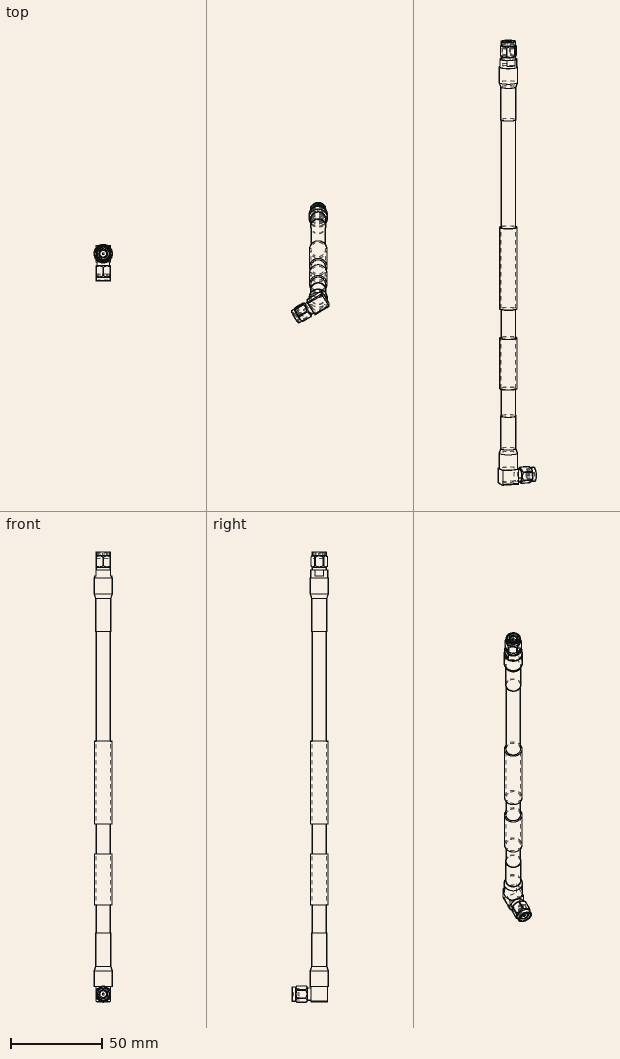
import cadquery as cq
import math


total_height = 247.2
cable_radius = 4.0
boot_radius = 4.2
boot_length = 18.3
ferrule_diameter = 10.1
ferrule_radius = ferrule_diameter / 2
ferrule_length = 8.7
taper_length = 2.5
tail_length = ferrule_length + taper_length + boot_length
socket_depth = boot_length

nut_sides = 6
nut_across_flats = 8.2
nut_outer_diameter = 9.1
nut_outer_radius = nut_outer_diameter / 2
nut_length = 6.5
nut_chamfer = 0.7
collar_radius = 4.0
collar_length = 2.0
bore_radius = 3.2
bore_depth = 3.7
sleeve_outer_radius = 2.5
sleeve_inner_radius = 1.85
sleeve_length = 3.2
pin_radius = 0.5
pin_length = 3.0

upper_neck_radius = 4.0
upper_neck_length = 1.5
wrench_body_radius = 4.7
wrench_body_length = 4.5
wrench_across_flats = nut_across_flats
wrench_flat_length = 3.2

lower_neck_radius = 3.5
lower_neck_length = 2.0
elbow_width = nut_across_flats
elbow_depth = 9.1
elbow_bottom = 0.2
elbow_top = 8.7
elbow_chamfer = 0.62

marker_diameter = 9.6
marker_radius = marker_diameter / 2
long_marker_bottom = 97.9
long_marker_length = 45.5
short_marker_bottom = 53.5
short_marker_length = 28.2

head_length = nut_length + collar_length
upper_nut_base = total_height - head_length
wrench_body_top = upper_nut_base - upper_neck_length
upper_tail_start = wrench_body_top - wrench_body_length
upper_tail_end = upper_tail_start - tail_length
lower_tail_end = elbow_top + tail_length
lower_axis_height = nut_outer_radius
lower_nut_base_y = -elbow_depth / 2 - lower_neck_length


def cylinder(radius, bottom, length):
    """Cylinder on the Z axis that starts at height bottom."""
    return cq.Workplane("XY").workplane(offset=bottom).circle(radius).extrude(length)


def make_nut():
    """Hexagonal nut standing on Z = 0, with flats toward +X and -X.

    Its corners are turned round and chamfered at both ends.
    """
    across_corners = nut_across_flats / math.cos(math.pi / nut_sides)
    hexagon = cq.Workplane("XY").polygon(nut_sides, across_corners).extrude(nut_length)
    hexagon = hexagon.rotate((0, 0, 0), (0, 0, 1), 180 / nut_sides)
    envelope = cylinder(nut_outer_radius, 0, nut_length).edges().chamfer(nut_chamfer)
    return hexagon.intersect(envelope)


def make_head(neck_radius, neck_length):
    """Coupling head along +Z: the neck lies below Z = 0, the nut starts at Z = 0."""
    neck = cylinder(neck_radius, -neck_length, neck_length)
    collar = cylinder(collar_radius, nut_length, collar_length)
    bore_floor = head_length - bore_depth
    bore = cylinder(bore_radius, bore_floor, bore_depth)
    sleeve = cylinder(sleeve_outer_radius, bore_floor, sleeve_length)
    sleeve = sleeve.cut(cylinder(sleeve_inner_radius, bore_floor, sleeve_length))
    pin = cylinder(pin_radius, bore_floor, pin_length)
    return make_nut().union(collar).union(neck).cut(bore).union(sleeve).union(pin)


def make_tail():
    """Ferrule, taper and boot along +Z from Z = 0, with a socket for the cable in the boot."""
    taper_end = ferrule_length + taper_length
    profile = [
        (0, 0),
        (ferrule_radius, 0),
        (ferrule_radius, ferrule_length),
        (boot_radius, taper_end),
        (boot_radius, tail_length),
        (0, tail_length),
    ]
    tail = cq.Workplane("XZ").polyline(profile).close().revolve(360, (0, 0), (0, 1))
    return tail.cut(cylinder(cable_radius, tail_length - socket_depth, socket_depth))


def make_upper_connector():
    """Straight connector: head, round body with two wrench flats, and a tail pointing down."""
    head = make_head(upper_neck_radius, upper_neck_length).translate((0, 0, upper_nut_base))
    body = cylinder(wrench_body_radius, upper_tail_start, wrench_body_length - wrench_flat_length)
    flat_bottom = wrench_body_top - wrench_flat_length
    flat_slab = cq.Workplane("XY").workplane(offset=flat_bottom)
    flat_slab = flat_slab.rect(wrench_across_flats, 2 * wrench_body_radius).extrude(wrench_flat_length)
    flat_part = cylinder(wrench_body_radius, flat_bottom, wrench_flat_length).intersect(flat_slab)
    tail = make_tail().rotate((0, 0, 0), (1, 0, 0), 180).translate((0, 0, upper_tail_start))
    return head.union(flat_part).union(body).union(tail)


def make_lower_connector():
    """Right-angle connector: elbow block, head pointing to -Y, and a tail pointing up."""
    elbow = cq.Workplane("XY").workplane(offset=elbow_bottom).rect(elbow_width, elbow_depth)
    elbow = elbow.extrude(elbow_top - elbow_bottom)
    elbow = elbow.faces("<Z").edges("|Y").chamfer(elbow_chamfer)
    head = make_head(lower_neck_radius, lower_neck_length).rotate((0, 0, 0), (1, 0, 0), 90)
    head = head.translate((0, lower_nut_base_y, lower_axis_height))
    tail = make_tail().translate((0, 0, elbow_top))
    return elbow.union(head).union(tail)


def make_cable():
    """Cable between the floors of the two boot sockets."""
    bottom = lower_tail_end - socket_depth
    top = upper_tail_end + socket_depth
    return cylinder(cable_radius, bottom, top - bottom)


def make_marker(bottom, length):
    """Marker sleeve that fits around the cable."""
    return cylinder(marker_radius, bottom, length).cut(cylinder(cable_radius, bottom, length))


upper_connector = make_upper_connector()
lower_connector = make_lower_connector()
cable = make_cable()
markers = [
    make_marker(bottom, length)
    for bottom, length in (
        (long_marker_bottom, long_marker_length),
        (short_marker_bottom, short_marker_length),
    )
]

result = cq.Compound.makeCompound(
    [
        upper_connector.val(),
        lower_connector.val(),
        cable.val(),
        *[marker.val() for marker in markers],
    ]
)